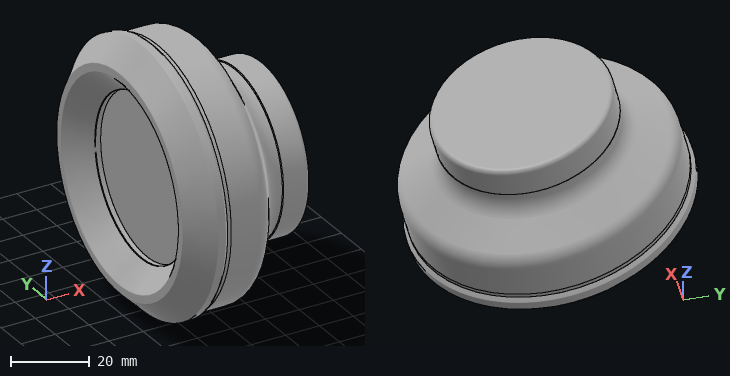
import cadquery as cq
import math

total_length = 42.0

ring_radius = 38.1
ring_length = 11.0
lip_outer_radius = 31.5
lip_inner_radius = 29.15
bore_radius = 23.1
bore_start = 6.4
band_length = 2.3
edge_fillet = 0.3

body_radius = 74.0 / 2
collar_radius = 48.0 / 2
neck_radius = 47.6 / 2
spigot_face = 8.0
shoulder_start = 19.6
shoulder_fillet = 4.3
neck_fillet = 6.1
slope_angle = 60.0
collar_start = 33.95
collar_fillet = 1.4

tolerance = 0.01


def revolve_about_x(outline):
    """Turn a closed outline drawn as (x, radius) into a solid."""
    return outline.close().revolve(360, (0, 0, 0), (1, 0, 0))


def is_circle_at(circle, x, radius):
    """Tell whether a circular edge has the given X position and radius."""
    same_place = math.isclose(circle.arcCenter().x, x, abs_tol=tolerance)
    same_size = math.isclose(circle.radius(), radius, abs_tol=tolerance)
    return same_place and same_size


def make_ring():
    band_start = ring_radius - lip_outer_radius
    band_end = band_start + band_length
    step_foot = band_end + ring_radius - body_radius
    outline = (
        cq.Workplane("XY")
        .moveTo(0, lip_inner_radius)
        .lineTo(0, lip_outer_radius)
        .lineTo(band_start, ring_radius)
        .lineTo(band_end, ring_radius)
        .lineTo(step_foot, body_radius)
        .lineTo(ring_length, body_radius)
        .lineTo(ring_length, bore_radius)
        .lineTo(bore_start, bore_radius)
    )
    rounded_edges = (
        (0, lip_inner_radius),
        (0, lip_outer_radius),
        (band_start, ring_radius),
        (band_end, ring_radius),
        (bore_start, bore_radius),
    )
    ring = revolve_about_x(outline)
    for x, radius in rounded_edges:
        edge = ring.edges("%CIRCLE").filter(lambda circle: is_circle_at(circle, x, radius))
        ring = edge.fillet(edge_fillet)
    return ring


def arc_point(center, radius, angle):
    """Point on an arc, at an angle in degrees from the +X direction."""
    turn = math.radians(angle)
    return (center[0] + radius * math.cos(turn), center[1] + radius * math.sin(turn))


def make_body():
    flank_normal = 90 - slope_angle
    shoulder_center = (shoulder_start, body_radius - shoulder_fillet)
    neck_center_radius = neck_radius + neck_fillet
    center_drop = shoulder_center[1] - neck_center_radius
    normal_reach = shoulder_fillet + neck_fillet + center_drop * math.sin(math.radians(flank_normal))
    neck_fillet_end = shoulder_start + normal_reach / math.cos(math.radians(flank_normal))
    neck_center = (neck_fillet_end, neck_center_radius)
    collar_center = (total_length - collar_fillet, collar_radius - collar_fillet)
    collar_step = collar_radius - neck_radius
    outline = (
        cq.Workplane("XY")
        .moveTo(spigot_face, 0)
        .lineTo(spigot_face, bore_radius)
        .lineTo(ring_length, bore_radius)
        .lineTo(ring_length, body_radius)
        .lineTo(shoulder_start, body_radius)
        .threePointArc(
            arc_point(shoulder_center, shoulder_fillet, (90 + flank_normal) / 2),
            arc_point(shoulder_center, shoulder_fillet, flank_normal),
        )
        .lineTo(*arc_point(neck_center, neck_fillet, 180 + flank_normal))
        .threePointArc(
            arc_point(neck_center, neck_fillet, 180 + (90 + flank_normal) / 2),
            (neck_fillet_end, neck_radius),
        )
        .lineTo(collar_start - collar_step, neck_radius)
        .lineTo(collar_start, collar_radius)
        .lineTo(total_length - collar_fillet, collar_radius)
        .threePointArc(
            arc_point(collar_center, collar_fillet, 45),
            (total_length, collar_radius - collar_fillet),
        )
        .lineTo(total_length, 0)
    )
    return revolve_about_x(outline)


ring = make_ring()
body = make_body()

result = cq.Compound.makeCompound([ring.val(), body.val()])